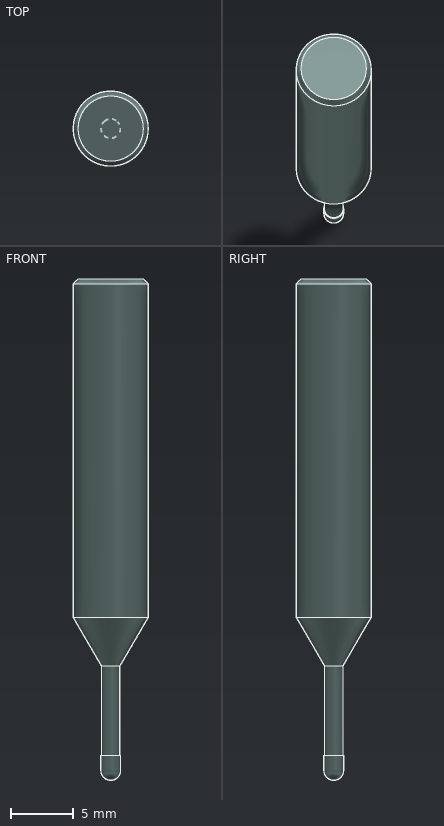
import cadquery as cq

total_length = 40.0
shank_diameter = 6.0
shank_chamfer = 0.4
shank_start = 13.0
cone_start = 9.1
neck_diameter = 1.5
head_diameter = 1.6
head_length = 2.0

shank_radius = shank_diameter / 2
neck_radius = neck_diameter / 2
ball_radius = head_diameter / 2


def make_holder():
    """Shank, cone and neck, turned as one solid above the cutting head."""
    profile = (
        cq.Workplane("XZ")
        .moveTo(0, head_length)
        .lineTo(neck_radius, head_length)
        .lineTo(neck_radius, cone_start)
        .lineTo(shank_radius, shank_start)
        .lineTo(shank_radius, total_length - shank_chamfer)
        .lineTo(shank_radius - shank_chamfer, total_length)
        .lineTo(0, total_length)
        .close()
    )
    return profile.revolve(360, (0, 0, 0), (0, 1, 0))


def make_cutting_head():
    """Short cylinder ending in a hemisphere that touches the ground plane."""
    ball_offset = ball_radius * 0.5 ** 0.5
    profile = (
        cq.Workplane("XZ")
        .moveTo(0, 0)
        .threePointArc((ball_offset, ball_radius - ball_offset), (ball_radius, ball_radius))
        .lineTo(ball_radius, head_length)
        .lineTo(0, head_length)
        .close()
    )
    return profile.revolve(360, (0, 0, 0), (0, 1, 0))


holder = make_holder()
cutting_head = make_cutting_head()

result = cq.Compound.makeCompound([holder.val(), cutting_head.val()])